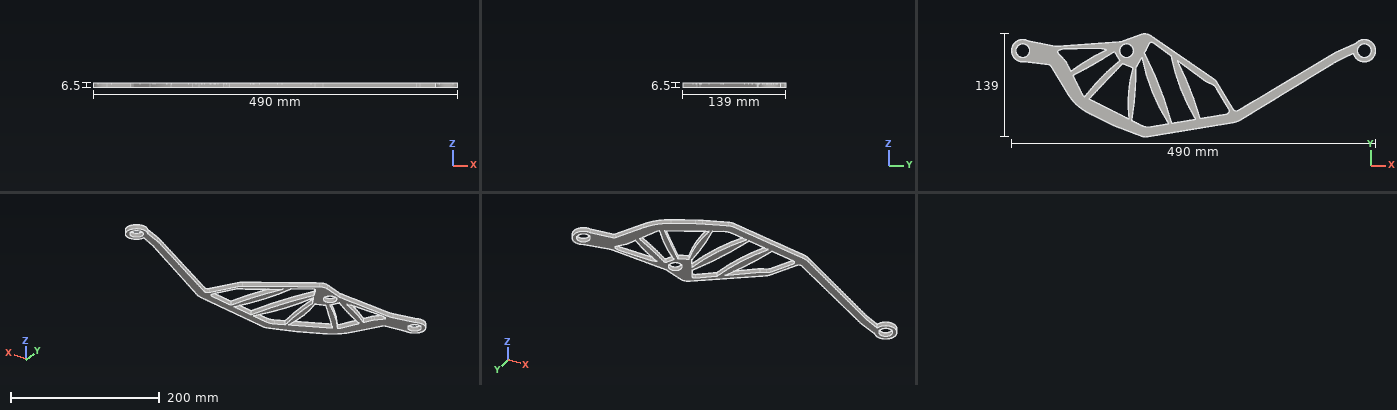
import cadquery as cq
import math

thickness = 6.5
length = 490.0
eye_diameter = 30.5
hole_diameter = 18.0
middle_hole_x = 139.5
eye_spacing = length - eye_diameter
arm_end_x = eye_spacing - 7.5

left_eye = (0, 0)
middle_hole = (middle_hole_x, 0)
right_eye = (eye_spacing, 0)

outer_corners = [
    (2.5, 14.0, 0),
    (44.5, 6.0, 29.5),
    (132.5, 12.2, 5),
    (166.0, 24.5, 13.5),
    (259.5, -39.5, 14.5),
    (285.5, -83.0, 5),
    (421.5, -2.0, 59),
    (arm_end_x, 12.0, 0),
    (arm_end_x, 0, 0),
    (422.0, -14.5, 59),
    (288.5, -96.0, 29.5),
    (163.5, -116.5, 14.5),
    (122.5, -101.0, 98),
    (71.0, -75.5, 68.5),
    (36.7, -19.0, 4.0),
    (1.0, -14.5, 0),
]

opening_corners = [
    (45.0, -0.5, 2.5),
    (55.0, 2.5, 14.5),
    (105.5, 3.0, 14.5),
    (123.5, -1.5, 5),
    (132.5, -16.5, 10),
    (151.5, -24.5, 4.0),
    (166.0, 1.0, 10),
    (172.0, 13.0, 4.0),
    (246.5, -41.5, 7.5),
    (257.5, -46.5, 10),
    (280.5, -84.5, 4.5),
    (165.5, -103.5, 19.5),
    (81.5, -61.0, 4.0),
    (58.5, -14.5, 14.5),
]

ribs = [
    [[(115.5, 2.5), (89.0, -11.5), (63.5, -28.5)], [(124.0, -1.0), (95.0, -18.5), (66.5, -34.0)]],
    [[(131.5, -12.5), (104.0, -37.5), (83.5, -61.5)], [(135.0, -16.5), (112.0, -40.5), (89.0, -65.0)]],
    [[(148.5, -22.0), (142.0, -57.0), (143.0, -93.5)], [(152.5, -20.5), (151.5, -55.5), (146.5, -95.5)]],
    [[(159.5, -6.0), (172.0, -50.0), (197.0, -99.5)], [(162.0, 0.0), (185.0, -51.0), (201.0, -99.0)]],
    [[(199.5, -7.0), (211.5, -49.5), (233.0, -93.5)], [(207.8, -12.5), (225.5, -52.0), (239.0, -92.5)]],
]


def toward(start, target, distance):
    """Point at the given distance from start on the way to target."""
    share = distance / math.dist(start, target)
    return (start[0] + share * (target[0] - start[0]), start[1] + share * (target[1] - start[1]))


def rounded_plate(corners):
    """Plate with straight sides joined by tangent arcs at its corners."""
    points = [(x, y) for x, y, _ in corners]
    count = len(corners)
    sketch = cq.Workplane("XY")
    for i in range(count):
        before, corner, after = points[i - 1], points[i], points[(i + 1) % count]
        radius = corners[i][2]
        if radius == 0:
            sketch = sketch.moveTo(*corner) if i == 0 else sketch.lineTo(*corner)
            continue
        unit_in = toward(corner, before, 5)
        unit_out = toward(corner, after, 5)
        half_angle = math.asin(math.dist(unit_in, unit_out) / 10)
        setback = radius / math.tan(half_angle)
        arc_start = toward(corner, before, setback)
        arc_end = toward(corner, after, setback)
        chord_middle = ((unit_in[0] + unit_out[0]) / 2, (unit_in[1] + unit_out[1]) / 2)
        arc_middle = toward(corner, chord_middle, radius / math.sin(half_angle) - radius)
        sketch = sketch.moveTo(*arc_start) if i == 0 else sketch.lineTo(*arc_start)
        sketch = sketch.threePointArc(arc_middle, arc_end)
    return sketch.close().extrude(thickness)


def rib(edges):
    """Slender rib with two bowed edges and square ends."""
    (hub_a, middle_a, frame_a), (hub_b, middle_b, frame_b) = edges
    return (
        cq.Workplane("XY")
        .moveTo(*hub_a)
        .threePointArc(middle_a, frame_a)
        .lineTo(*frame_b)
        .threePointArc(middle_b, hub_b)
        .close()
        .extrude(thickness)
    )


def discs(centers, diameter):
    return cq.Workplane("XY").pushPoints(centers).circle(diameter / 2).extrude(thickness)


result = rounded_plate(outer_corners).cut(rounded_plate(opening_corners))

for edges in ribs:
    result = result.union(rib(edges))

result = result.union(discs([left_eye, right_eye], eye_diameter))
result = result.cut(discs([left_eye, middle_hole, right_eye], hole_diameter))